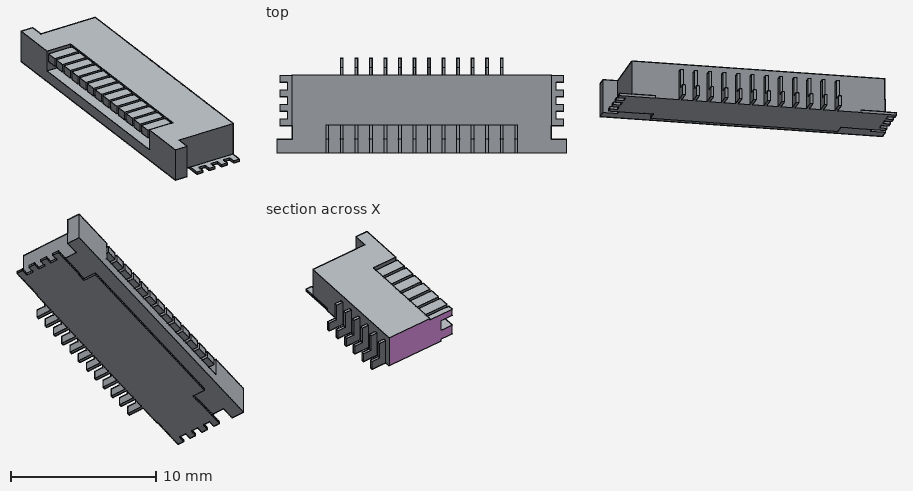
import cadquery as cq


FLANGE_WIDTH = 19.92
FLANGE_DEPTH = 0.95
HOUSING_WIDTH = 17.83
HOUSING_DEPTH = 5.38
TOP_Z = 2.57
STANDOFF = 0.18

PITCH = 1.0
BLOCK_COUNT = 13
GAP = 0.2
BLOCK_WIDTH = PITCH - GAP
RECESS_WIDTH = BLOCK_COUNT * PITCH + GAP

RECESS_DEPTH = 1.91
MOUTH_DEPTH = FLANGE_DEPTH
FLOOR_Z = 1.02
SHELF_Z = 1.85
BLOCK_DROP = 0.12
BLOCK_TOP_Z = TOP_Z - BLOCK_DROP

PIN_COUNT = BLOCK_COUNT - 1
PIN_WIDTH = GAP
PIN_END_Y = 6.53
PIN_STEP_Y = 5.9
PIN_FOOT_Z = 0.72
PIN_TOP_Z = 2.03

TAB_INNER_X = 7.25
TAB_ROOT_X = 9.25
TAB_TIP_X = 9.76
TAB_FRONT_Y = 1.87
TOOTH_COUNT = 4
TOOTH_PITCH = 1.0
TOOTH_WIDTH = 0.48
TAB_LENGTH = (TOOTH_COUNT - 1) * TOOTH_PITCH + TOOTH_WIDTH


def box(x0, x1, y0, y1, z0, z1):
    """Box between two opposite corners."""
    return cq.Workplane("XY").box(x1 - x0, y1 - y0, z1 - z0, centered=False).translate((x0, y0, z0))


def centred_box(width, y0, y1, z0, z1, x=0):
    """Box of a given width, centred on x."""
    return box(x - width / 2, x + width / 2, y0, y1, z0, z1)


def row_positions(count):
    """X positions of evenly pitched items, centred on the part."""
    return [(i - (count - 1) / 2) * PITCH for i in range(count)]


def make_housing():
    """T-shaped housing with a stepped recess open to the front and top."""
    housing = centred_box(HOUSING_WIDTH, 0, HOUSING_DEPTH, STANDOFF, TOP_Z)
    flange = centred_box(FLANGE_WIDTH, 0, FLANGE_DEPTH, STANDOFF, TOP_Z)
    mouth = centred_box(RECESS_WIDTH, 0, MOUTH_DEPTH, FLOOR_Z, TOP_Z)
    shelf = centred_box(RECESS_WIDTH, 0, RECESS_DEPTH, SHELF_Z, TOP_Z)
    return housing.union(flange).cut(mouth).cut(shelf)


def make_block(x):
    """Block on the recess shelf, overhanging the mouth to the front face."""
    return centred_box(BLOCK_WIDTH, 0, RECESS_DEPTH, SHELF_Z, BLOCK_TOP_Z, x)


def make_pin(x):
    """L-shaped pin on the rear wall."""
    profile = [
        (HOUSING_DEPTH, 0),
        (PIN_END_Y, 0),
        (PIN_END_Y, PIN_FOOT_Z),
        (PIN_STEP_Y, PIN_FOOT_Z),
        (PIN_STEP_Y, PIN_TOP_Z),
        (HOUSING_DEPTH, PIN_TOP_Z),
    ]
    pin = cq.Workplane("YZ").polyline(profile).close().extrude(PIN_WIDTH)
    return pin.translate((x - PIN_WIDTH / 2, 0, 0))


def make_base():
    """Standoff plate under the housing; its middle reaches forward to the flange."""
    rear = centred_box(2 * TAB_INNER_X, RECESS_DEPTH, HOUSING_DEPTH, 0, STANDOFF)
    front = centred_box(RECESS_WIDTH, FLANGE_DEPTH, RECESS_DEPTH, 0, STANDOFF)
    return rear.union(front)


def make_right_tab():
    """Comb-shaped solder tab on the +X side."""
    tab = box(TAB_INNER_X, TAB_ROOT_X, TAB_FRONT_Y, TAB_FRONT_Y + TAB_LENGTH, 0, STANDOFF)
    for i in range(TOOTH_COUNT):
        y = TAB_FRONT_Y + i * TOOTH_PITCH
        tab = tab.union(box(TAB_ROOT_X, TAB_TIP_X, y, y + TOOTH_WIDTH, 0, STANDOFF))
    return tab


right_tab = make_right_tab()
result = make_housing().union(make_base()).union(right_tab).union(right_tab.mirror("YZ"))
for block_x in row_positions(BLOCK_COUNT):
    result = result.union(make_block(block_x))
for pin_x in row_positions(PIN_COUNT):
    result = result.union(make_pin(pin_x))